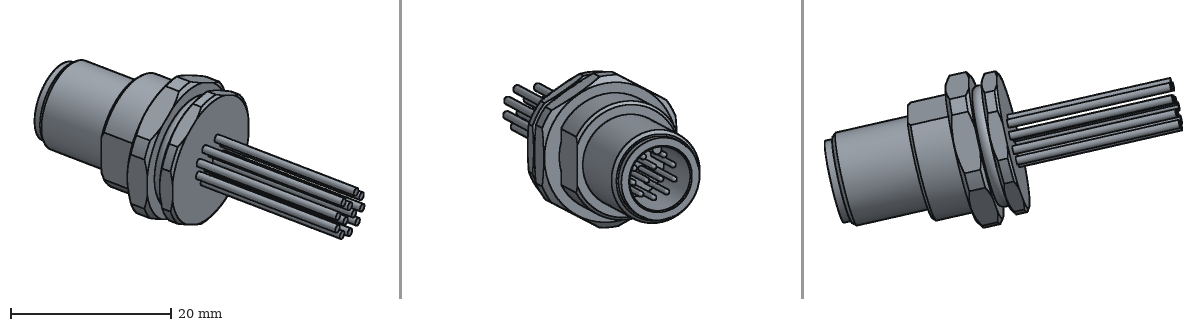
import cadquery as cq
import math

overall_length = 43.9

tip_radius = 5.25
tip_length = 1.0
sleeve_radius = 5.95
sleeve_chamfer_radial = 0.45
sleeve_chamfer_axial = 0.53

collar_start = 11.0
collar_radius = 7.6
collar_chamfer = 0.4
collar_across_flats = 13.4

front_nut_start = 16.4
front_nut_end = 19.5
front_nut_across_flats = 18.0
front_nut_corner_radius = 9.75
front_nut_chamfers = (0.55, 0.45)
front_nut_bore_radius = 6.95

rear_hex_start = 20.95
rear_hex_end = 22.95
rear_hex_across_flats = 17.05
rear_hex_corner_radius = 9.05
rear_hex_chamfers = (0.45, 0.3)

hex_chamfer_angle = 35.0

seal_radius = 7.75
seal_edge_radius = 7.4

bore_radius = 4.1
bore_depth = 8.8
mouth_chamfer = 0.18

key_width = 1.15
key_tip_height = 2.9
key_start = 1.1

outer_contact_radius = 2.85
outer_contact_count = 9
outer_contact_pitch = 37.7
inner_contact_radius = 1.1
inner_contact_count = 3
pin_diameter = 0.7
pin_start = 1.9
wire_diameter = 1.05


def rod(start, end, radius):
    """Solid cylinder along X."""
    return cq.Workplane("YZ").workplane(offset=start).circle(radius).extrude(end - start)


def polar(radius, angle):
    """(Y, Z) point at an angle measured from -Z."""
    turn = math.radians(angle)
    return radius * math.sin(turn), -radius * math.cos(turn)


def revolve_profile(points):
    """Revolve (X, radius) points about the X axis."""
    return cq.Workplane("XY").polyline(points).close().revolve(360, (0, 0, 0), (1, 0, 0))


def chamfered_hex(start, end, across_flats, corner_radius, chamfers):
    """Hexagon with flats facing +Y and -Y, its corners turned down and chamfered at both ends."""
    length = end - start
    across_corners = across_flats / math.cos(math.radians(30))
    prism = cq.Workplane("YZ").workplane(offset=start).polygon(6, across_corners).extrude(length)
    prism = prism.rotate((0, 0, 0), (1, 0, 0), 30)
    start_chamfer, end_chamfer = chamfers
    slope = math.tan(math.radians(hex_chamfer_angle))
    envelope = revolve_profile([
        (start, 0),
        (start, corner_radius - start_chamfer / slope),
        (start + start_chamfer, corner_radius),
        (end - end_chamfer, corner_radius),
        (end, corner_radius - end_chamfer / slope),
        (end, 0),
    ])
    return prism.intersect(envelope)


def make_sleeve():
    return revolve_profile([
        (0, 0),
        (0, tip_radius),
        (tip_length, tip_radius),
        (tip_length, sleeve_radius - sleeve_chamfer_radial),
        (tip_length + sleeve_chamfer_axial, sleeve_radius),
        (collar_start, sleeve_radius),
        (collar_start, 0),
    ])


def make_collar():
    """Flatted collar with a thinner flatted neck that fills the nut bore."""
    collar = rod(collar_start, front_nut_start, collar_radius).faces("<X").chamfer(collar_chamfer)
    neck = rod(front_nut_start, front_nut_end, front_nut_bore_radius)
    flats = cq.Workplane("YZ").workplane(offset=collar_start)
    flats = flats.rect(collar_across_flats, 2 * collar_radius).extrude(front_nut_end - collar_start)
    return collar.union(neck).intersect(flats)


def make_front_nut():
    nut = chamfered_hex(
        front_nut_start, front_nut_end, front_nut_across_flats, front_nut_corner_radius, front_nut_chamfers
    )
    return nut.cut(rod(front_nut_start, front_nut_end, front_nut_bore_radius))


def make_rear_hex():
    return chamfered_hex(
        rear_hex_start, rear_hex_end, rear_hex_across_flats, rear_hex_corner_radius, rear_hex_chamfers
    )


def make_seal():
    middle = (front_nut_end + rear_hex_start) / 2
    profile = (
        cq.Workplane("XY")
        .moveTo(front_nut_end, 0)
        .lineTo(front_nut_end, seal_edge_radius)
        .threePointArc((middle, seal_radius), (rear_hex_start, seal_edge_radius))
        .lineTo(rear_hex_start, 0)
        .close()
    )
    return profile.revolve(360, (0, 0, 0), (1, 0, 0))


def make_bore():
    """Blind bore with a chamfered mouth."""
    return revolve_profile([
        (0, 0),
        (0, bore_radius + mouth_chamfer),
        (mouth_chamfer, bore_radius),
        (bore_depth, bore_radius),
        (bore_depth, 0),
    ])


def make_key():
    """Round-tipped rib along the top of the bore."""
    length = bore_depth - key_start
    tip_centre = key_tip_height + key_width / 2
    root_height = (bore_radius + tip_radius) / 2
    rib_height = root_height - tip_centre
    plane = cq.Workplane("YZ").workplane(offset=key_start)
    tip = plane.center(0, tip_centre).circle(key_width / 2).extrude(length)
    rib = plane.center(0, tip_centre + rib_height / 2).rect(key_width, rib_height).extrude(length)
    return tip.union(rib)


def make_pin():
    """Contact pin on the connector axis with a hemispherical tip."""
    radius = pin_diameter / 2
    dome_centre = pin_start + radius
    dome = cq.Workplane("YZ").workplane(offset=dome_centre).sphere(radius)
    return rod(dome_centre, bore_depth, radius).union(dome)


def contact_positions():
    """Contacts on an open outer ring, gapped at the key, and a closed inner ring."""
    middle = (outer_contact_count - 1) / 2
    outer = [polar(outer_contact_radius, (i - middle) * outer_contact_pitch) for i in range(outer_contact_count)]
    inner = [polar(inner_contact_radius, 180 + i * 360 / inner_contact_count) for i in range(inner_contact_count)]
    return outer + inner


body = (
    make_sleeve()
    .union(make_collar())
    .union(make_front_nut())
    .union(make_seal())
    .union(make_rear_hex())
    .cut(make_bore())
    .union(make_key())
)

pin = make_pin()
wire = rod(rear_hex_end, overall_length, wire_diameter / 2)
for y, z in contact_positions():
    body = body.union(pin.translate((0, y, z)))
    body = body.union(wire.translate((0, y, z)))

result = body